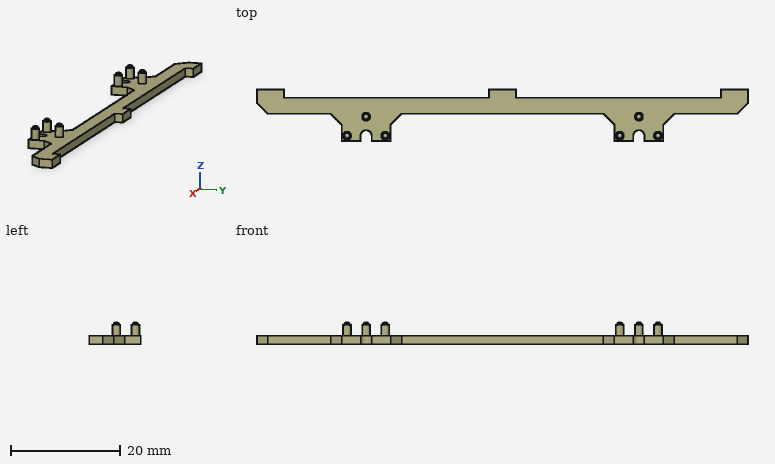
import cadquery as cq
import math

plate_length = 90.0
plate_depth = 9.5
plate_thickness = 1.6
half_length = plate_length / 2

tab_width = 5.0
recess_depth = 1.5
tab_positions = (-half_length + tab_width / 2, 0.0, half_length - tab_width / 2)

bar_front = 5.0
corner_chamfer = 2.0

tongue_pitch = 50.0
tongue_width = 9.0
tongue_straight = 3.0
tongue_flare = 2.0
tongue_centers = (-tongue_pitch / 2, tongue_pitch / 2)

slot_width = 2.0
slot_depth = 2.0

total_height = 4.05
pin_height = total_height - plate_thickness
barrel_radius = 0.75
plunger_radius = 0.5
plunger_height = 0.5
dome_height = 0.25
barrel_height = pin_height - plunger_height
dome_start = pin_height - dome_height
pin_side_offset = 3.5
front_pin_y = 1.0
rear_pin_y = front_pin_y + pin_side_offset
pin_offsets = ((-pin_side_offset, front_pin_y), (0.0, rear_pin_y), (pin_side_offset, front_pin_y))


def make_bar():
    """Bar with its three rear tabs and chamfered front corners."""
    bar_back = plate_depth - recess_depth
    bar = (
        cq.Workplane("XY")
        .box(plate_length, bar_back - bar_front, plate_thickness, centered=(True, False, False))
        .translate((0, bar_front, 0))
    )
    for tab_x in tab_positions:
        tab = (
            cq.Workplane("XY")
            .box(tab_width, plate_depth - bar_front, plate_thickness, centered=(True, False, False))
            .translate((tab_x, bar_front, 0))
        )
        bar = bar.union(tab)
    return bar.edges("|Z and <Y").chamfer(corner_chamfer)


def make_tongue(center_x):
    """Tongue that flares out where it meets the bar."""
    half_width = tongue_width / 2
    half_root = half_width + tongue_flare
    return (
        cq.Workplane("XY")
        .moveTo(center_x - half_width, 0)
        .lineTo(center_x + half_width, 0)
        .lineTo(center_x + half_width, tongue_straight)
        .lineTo(center_x + half_root, bar_front)
        .lineTo(center_x - half_root, bar_front)
        .lineTo(center_x - half_width, tongue_straight)
        .close()
        .extrude(plate_thickness)
    )


def make_slot(center_x):
    """Cutter for the slot, open at the front and round at its inner end."""
    radius = slot_width / 2
    round_start = slot_depth - radius
    return (
        cq.Workplane("XY")
        .moveTo(center_x - radius, 0)
        .lineTo(center_x + radius, 0)
        .lineTo(center_x + radius, round_start)
        .threePointArc((center_x, slot_depth), (center_x - radius, round_start))
        .close()
        .extrude(plate_thickness)
    )


def make_plate():
    """Bar and slotted tongues as one flat plate."""
    plate = make_bar()
    for center_x in tongue_centers:
        plate = plate.union(make_tongue(center_x)).cut(make_slot(center_x))
    return plate


def make_pin(x, y):
    """Barrel and domed plunger turned as one solid about the pin axis."""
    dome_sphere_radius = (plunger_radius**2 + dome_height**2) / (2 * dome_height)
    half_dome_angle = math.asin(plunger_radius / dome_sphere_radius) / 2
    dome_mid_radius = dome_sphere_radius * math.sin(half_dome_angle)
    dome_mid_height = pin_height - dome_sphere_radius * (1 - math.cos(half_dome_angle))
    return (
        cq.Workplane("XZ")
        .lineTo(barrel_radius, 0)
        .lineTo(barrel_radius, barrel_height)
        .lineTo(plunger_radius, barrel_height)
        .lineTo(plunger_radius, dome_start)
        .threePointArc((dome_mid_radius, dome_mid_height), (0, pin_height))
        .close()
        .revolve(360, (0, 0), (0, 1))
        .translate((x, y, plate_thickness))
    )


plate = make_plate()
pins = [make_pin(center_x + dx, y) for center_x in tongue_centers for dx, y in pin_offsets]

result = cq.Compound.makeCompound([plate.val(), *[pin.val() for pin in pins]])